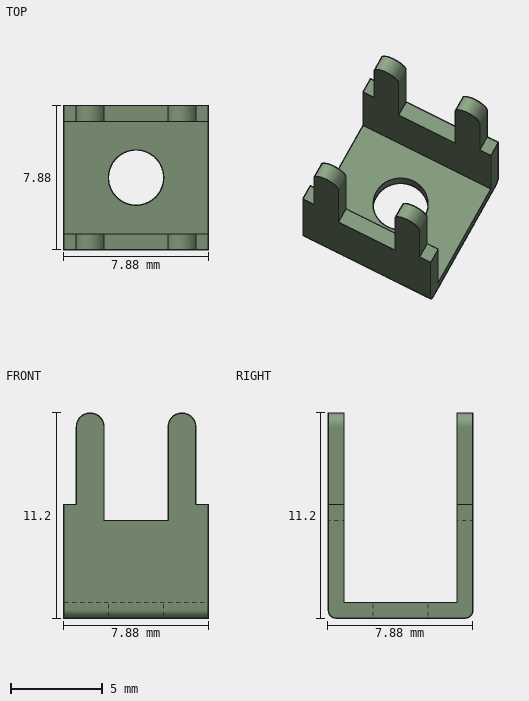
import cadquery as cq

width = 7.88
depth = 7.88
total_height = 11.18
thickness = 0.87
wall_height = 6.2
bend_radius = thickness / 2
hole_diameter = 3.0
pin_width = 1.52
pin_pitch = 5.0
notch_floor = wall_height - thickness


def make_channel():
    """U-shaped channel, open at the top, with rounded outer bottom edges."""
    block = (
        cq.Workplane("XY")
        .box(width, depth, wall_height, centered=(True, True, False))
        .edges("|X and <Z")
        .fillet(bend_radius)
    )
    inside = (
        cq.Workplane("XY")
        .workplane(offset=thickness)
        .rect(width, depth - 2 * thickness)
        .extrude(wall_height - thickness)
    )
    return block.cut(inside)


def make_notch():
    """Cutter lowering both walls over the gap between the two pins."""
    return (
        cq.Workplane("XY")
        .workplane(offset=notch_floor)
        .rect(pin_pitch - pin_width, depth)
        .extrude(wall_height - notch_floor)
    )


def make_pin(x_center, back_y):
    """Flat pin with a full-round tip, rooted in the wall, with its +Y face at back_y."""
    tip_radius = pin_width / 2
    shoulder = total_height - tip_radius
    return (
        cq.Workplane("XZ", origin=(x_center, back_y, 0))
        .moveTo(-tip_radius, notch_floor)
        .lineTo(tip_radius, notch_floor)
        .lineTo(tip_radius, shoulder)
        .threePointArc((0, total_height), (-tip_radius, shoulder))
        .close()
        .extrude(thickness)
    )


result = make_channel().cut(make_notch())

for x_center in (-pin_pitch / 2, pin_pitch / 2):
    for back_y in (depth / 2, thickness - depth / 2):
        result = result.union(make_pin(x_center, back_y))

screw_hole = cq.Workplane("XY").circle(hole_diameter / 2).extrude(thickness)
result = result.cut(screw_hole)